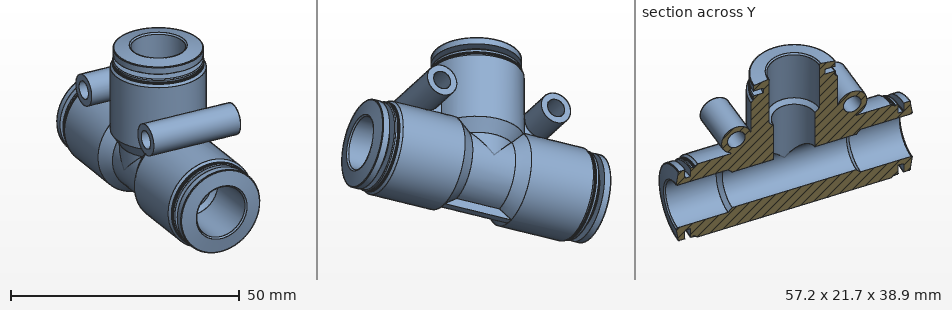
import cadquery as cq

RUN_LENGTH = 57.2
BODY_RADIUS = 21.0 / 2
OVERALL_HEIGHT = 38.9
RUN_REACH = RUN_LENGTH / 2
BRANCH_REACH = OVERALL_HEIGHT - BODY_RADIUS

FLANGE_RADIUS = 19.8 / 2
RIM_DEPTH = 0.5
RIM_CHAMFER = 0.2
FLANGE_DEPTH = 2.2
SLEEVE_RADIUS = 15.0 / 2
SLEEVE_CHAMFER = 0.2

COLLAR_DEPTH = 3.45
COLLAR_RADIUS = 20.0 / 2
COLLAR_CHAMFER = 0.25
GROOVE_RADIUS = 9.85
GROOVE_START = 4.2
GROOVE_END = 4.4
COLLAR_END = 4.65
BODY_DEPTH = 5.2

WAIST_RADIUS = 8.5
SHOULDER_DEPTH = RUN_REACH - 8.2
WAIST_DEPTH = RUN_REACH - 5.25

PASSAGE_RADIUS = 10.0 / 2
SOCKET_RADIUS = 12.0 / 2
SOCKET_DEPTH = 12.6
MOUTH_CHAMFER = 0.35

LUG_DIAMETER = 7.2
LUG_HOLE_DIAMETER = 4.2
LUG_LENGTH = 21.7
LUG_X = 14.0
LUG_Z = 13.95
WEB_WIDTH = 5.95
WEB_INSET = 8.0
RIB_WIDTH = 1.7


def revolve_profile(points):
    """Turn a (radius, height) outline about the Z axis."""
    return cq.Workplane("XZ").polyline(points).close().revolve(360, (0, 0), (0, 1))


def outer_outline(reach):
    """(radius, height) points of an arm from its open end at reach down to the waist."""
    depth_profile = [
        (SOCKET_RADIUS + MOUTH_CHAMFER, 0),
        (FLANGE_RADIUS - RIM_CHAMFER, RIM_DEPTH),
        (FLANGE_RADIUS, RIM_DEPTH + RIM_CHAMFER),
        (FLANGE_RADIUS, FLANGE_DEPTH),
        (SLEEVE_RADIUS + SLEEVE_CHAMFER, FLANGE_DEPTH),
        (SLEEVE_RADIUS, FLANGE_DEPTH + SLEEVE_CHAMFER),
        (SLEEVE_RADIUS, COLLAR_DEPTH),
        (COLLAR_RADIUS - COLLAR_CHAMFER, COLLAR_DEPTH),
        (COLLAR_RADIUS, COLLAR_DEPTH + COLLAR_CHAMFER),
        (COLLAR_RADIUS, GROOVE_START),
        (GROOVE_RADIUS, GROOVE_START),
        (GROOVE_RADIUS, GROOVE_END),
        (COLLAR_RADIUS, GROOVE_END),
        (COLLAR_RADIUS, COLLAR_END),
        (BODY_RADIUS, BODY_DEPTH),
        (BODY_RADIUS, SHOULDER_DEPTH),
        (WAIST_RADIUS, WAIST_DEPTH),
    ]
    return [(radius, reach - depth) for radius, depth in depth_profile]


def bore_outline(reach):
    """(radius, height) points of an arm's bore from its mouth down to the passage."""
    seat_depth = SOCKET_DEPTH + SOCKET_RADIUS - PASSAGE_RADIUS
    return [
        (SOCKET_RADIUS + MOUTH_CHAMFER, reach),
        (SOCKET_RADIUS, reach - MOUTH_CHAMFER),
        (SOCKET_RADIUS, reach - SOCKET_DEPTH),
        (PASSAGE_RADIUS, reach - seat_depth),
    ]


def branch_shape(outline):
    """Solid of revolution standing on the origin along +Z."""
    waist_radius = outline[-1][0]
    return revolve_profile([(0, 0), (0, BRANCH_REACH)] + outline + [(waist_radius, 0)])


def run_shape(outline):
    """Solid of revolution along X, mirrored about the YZ plane."""
    mirrored = [(radius, -height) for radius, height in reversed(outline)]
    profile = [(0, -RUN_REACH), (0, RUN_REACH)] + outline + mirrored
    return revolve_profile(profile).rotate((0, 0, 0), (0, 1, 0), 90)


def lug_cylinder(side, diameter):
    """Cylinder along Y on one mounting tube axis."""
    center = (side * LUG_X, LUG_LENGTH / 2, LUG_Z)
    return cq.Workplane("XZ", origin=center).circle(diameter / 2).extrude(LUG_LENGTH)


def lug_web(side):
    """Block tying one mounting tube to the branch and the run."""
    size_x = LUG_X - WEB_INSET
    size_z = LUG_Z - WEB_INSET
    web = cq.Workplane("XY").box(size_x, WEB_WIDTH, size_z)
    return web.translate((side * (LUG_X - size_x / 2), 0, LUG_Z - size_z / 2))


def waist_rib():
    """Rib below the waist, flush with the bottom of the run bodies."""
    half_length = RUN_REACH - SHOULDER_DEPTH
    rib = cq.Workplane("XY").box(2 * half_length, RIB_WIDTH, BODY_RADIUS)
    return rib.translate((0, 0, -BODY_RADIUS / 2))


fitting = run_shape(outer_outline(RUN_REACH))
fitting = fitting.union(branch_shape(outer_outline(BRANCH_REACH)))
fitting = fitting.union(waist_rib())
for lug_side in (-1, 1):
    fitting = fitting.union(lug_web(lug_side))
    fitting = fitting.union(lug_cylinder(lug_side, LUG_DIAMETER))

fitting = fitting.cut(run_shape(bore_outline(RUN_REACH)))
fitting = fitting.cut(branch_shape(bore_outline(BRANCH_REACH)))
for lug_side in (-1, 1):
    fitting = fitting.cut(lug_cylinder(lug_side, LUG_HOLE_DIAMETER))

result = fitting